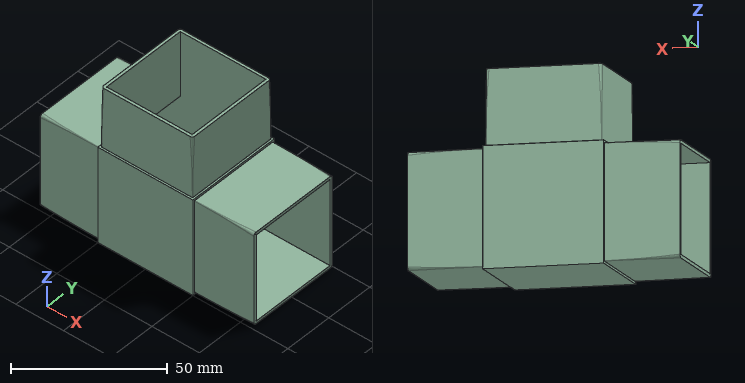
import cadquery as cq

overall_length = 90.0
body_size = 40.0
spigot_inset = 0.8
wall_thickness = 2.0
tip_corner_radius = 1.1
root_corner_radius = 0.1
corner_sections = 5

half_body = body_size / 2
half_length = overall_length / 2
spigot_length = half_length - half_body
spigot_size = body_size - 2 * spigot_inset
bore_size = body_size - 2 * wall_thickness

spigot_directions = [(-1, 0, 0), (1, 0, 0), (0, 0, 1)]


def spigot_plane(direction):
    """Plane at the body centre, with its normal along the spigot axis."""
    return cq.Plane(origin=(0, 0, 0), xDir=(0, 1, 0), normal=direction)


def corner_radius(fraction):
    """Corner radius from root (0) to tip (1), growing along a parabola."""
    return root_corner_radius + (tip_corner_radius - root_corner_radius) * fraction**2


def spigot(direction):
    """Straight-sided square spigot whose corners get rounder towards the tip."""
    sections = []
    for index in range(corner_sections):
        fraction = index / (corner_sections - 1)
        outline = (
            cq.Sketch()
            .rect(spigot_size, spigot_size)
            .vertices()
            .fillet(corner_radius(fraction))
            .moved(cq.Location(cq.Vector(0, 0, half_body + fraction * spigot_length)))
        )
        sections.append(outline)
    return cq.Workplane(spigot_plane(direction)).placeSketch(*sections).loft()


def bore(direction):
    """Square passage from the body centre out through one spigot tip."""
    return (
        cq.Workplane(spigot_plane(direction))
        .rect(bore_size, bore_size)
        .extrude(half_length)
    )


result = cq.Workplane("XY").box(body_size, body_size, body_size)
for spigot_direction in spigot_directions:
    result = result.union(spigot(spigot_direction))

chamber = cq.Workplane("XY").box(bore_size, bore_size, bore_size)
result = result.cut(chamber)
for spigot_direction in spigot_directions:
    result = result.cut(bore(spigot_direction))